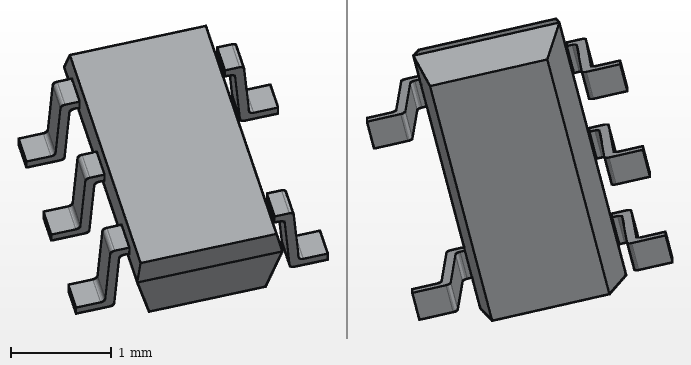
import cadquery as cq
import math

package_length = 2.8
package_width = 1.5
package_bottom = 0.05
parting_height = 0.705
package_top = 0.95
top_inset = 0.048
bottom_end_inset = 0.098
bottom_side_inset = 0.148

lead_span = 2.6
lead_width = 0.3
lead_thickness = 0.1
lead_top = 0.9
lead_pitch = 0.95
lead_shoulder = 0.945
leg_angle = 4.0
bend_radius = 0.048

front_lead_places = [-lead_pitch, 0, lead_pitch]
back_lead_places = [-lead_pitch, lead_pitch]


def make_package():
    """Package widest at the parting plane, narrowing upward and downward."""
    upper = (
        cq.Workplane("XY", origin=(0, 0, parting_height))
        .rect(package_length, package_width)
        .workplane(offset=package_top - parting_height)
        .rect(package_length - 2 * top_inset, package_width - 2 * top_inset)
        .loft(ruled=True)
    )
    lower = (
        cq.Workplane("XY", origin=(0, 0, package_bottom))
        .rect(package_length - 2 * bottom_end_inset, package_width - 2 * bottom_side_inset)
        .workplane(offset=parting_height - package_bottom)
        .rect(package_length, package_width)
        .loft(ruled=True)
    )
    return upper.union(lower)


def make_lead(x, side):
    """Bent strip centred at x; side is -1 for the -Y row and +1 for the +Y row."""
    lean = math.radians(leg_angle)
    leg_thickness = lead_thickness / math.cos(lean)

    def outer_face(z):
        return lead_shoulder + (lead_top - z) * math.tan(lean)

    def inner_face(z):
        return outer_face(z) - leg_thickness

    inner_end = package_width / 2
    foot_tip = lead_span / 2
    shoulder_underside = lead_top - lead_thickness
    outline = [
        (inner_end, lead_top),
        (outer_face(lead_top), lead_top),
        (outer_face(lead_thickness), lead_thickness),
        (foot_tip, lead_thickness),
        (foot_tip, 0),
        (inner_face(0), 0),
        (inner_face(shoulder_underside), shoulder_underside),
        (inner_end, shoulder_underside),
    ]
    strip = (
        cq.Workplane("YZ", origin=(x, 0, 0))
        .polyline([(side * y, z) for y, z in outline])
        .close()
        .extrude(lead_width / 2, both=True)
    )
    end_margin = 0.003
    bends = cq.selectors.BoxSelector(
        (x - lead_width, side * (inner_end + end_margin), -lead_thickness),
        (x + lead_width, side * (foot_tip - end_margin), lead_top + lead_thickness),
    )
    return strip.edges("|X").edges(bends).fillet(bend_radius)


package = make_package()
front_leads = [make_lead(x, -1) for x in front_lead_places]
back_leads = [make_lead(x, 1) for x in back_lead_places]

result = cq.Compound.makeCompound(
    [package.val(), *[lead.val() for lead in front_leads + back_leads]]
)